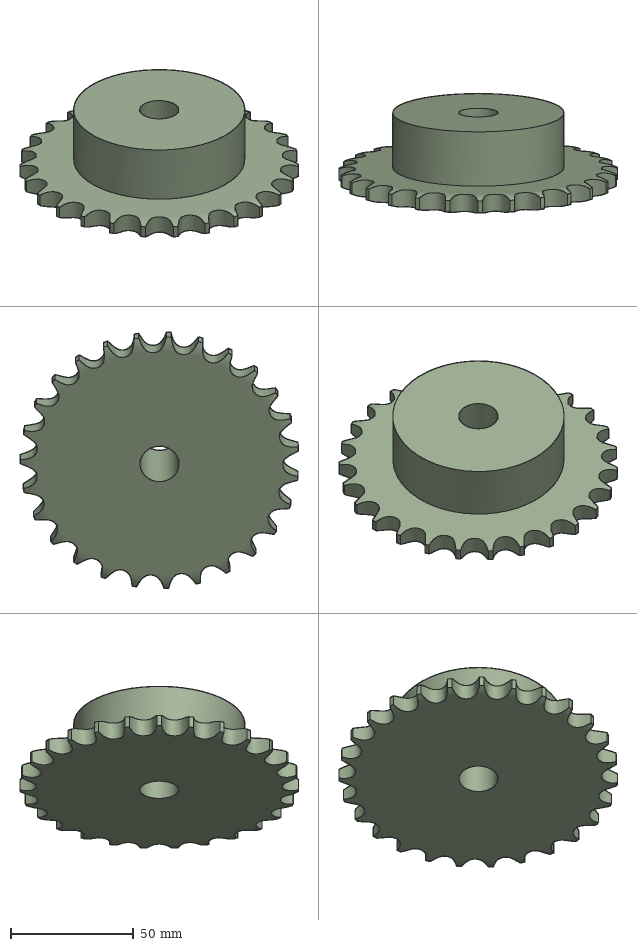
import cadquery as cq
import math

overall_width = 113.9
overall_height = 30.0
plate_thickness = 7.2
hub_diameter = 70.0
bore_diameter = 16.0

tooth_count = 27
pitch_diameter = 109.5
pitch_angle = 360 / tooth_count
first_tooth_angle = -90.0

seat_radius = 4.3
flank_arc_radius = 11.2
seat_half_angle = 55 - 60 / tooth_count
flank_arc_angle = 18 - 56 / tooth_count
tip_half_angle = 0.93

tip_radius = overall_width / 2 / math.cos(math.radians(pitch_angle / 4 - tip_half_angle))

side_round_radius = 13.0
side_round_depth = 1.3
side_round_width = math.sqrt(side_round_radius**2 - (side_round_radius - side_round_depth) ** 2)


def polar(radius, degrees):
    angle = math.radians(degrees)
    return (radius * math.cos(angle), radius * math.sin(angle))


def tooth_gap_points(gap_angle):
    """Named points along one gap, counter-clockwise between the inner ends of its straight flanks."""
    pitch_radius = pitch_diameter / 2
    flank_center_offset = flank_arc_radius - seat_radius
    flank_middle = seat_half_angle + flank_arc_angle / 2
    flank_end = seat_half_angle + flank_arc_angle

    def place(across, outward):
        """Turn a point given relative to the seat centre into part coordinates."""
        radius = math.hypot(pitch_radius + outward, across)
        turn = math.degrees(math.atan2(across, pitch_radius + outward))
        return polar(radius, gap_angle + turn)

    def seat_point(angle):
        """Point on the seat arc at an angle from the inward radial direction."""
        turn = math.radians(angle)
        return place(seat_radius * math.sin(turn), -seat_radius * math.cos(turn))

    def flank_point(angle, side):
        """Point on a flank arc; its centre lies on the line through the seat's end and centre."""
        turn = math.radians(angle)
        junction = math.radians(seat_half_angle)
        across = flank_arc_radius * math.sin(turn) - flank_center_offset * math.sin(junction)
        outward = flank_center_offset * math.cos(junction) - flank_arc_radius * math.cos(turn)
        return place(side * across, outward)

    return {
        "flank_in": flank_point(flank_end, -1),
        "flank_in_middle": flank_point(flank_middle, -1),
        "seat_start": seat_point(-seat_half_angle),
        "seat_bottom": seat_point(0),
        "seat_end": seat_point(seat_half_angle),
        "flank_out_middle": flank_point(flank_middle, 1),
        "flank_out": flank_point(flank_end, 1),
    }


def tooth_outline():
    """Closed outline of all the teeth and gaps."""
    outline = cq.Workplane("XY").moveTo(*polar(tip_radius, first_tooth_angle - tip_half_angle))
    for index in range(tooth_count):
        tooth_angle = first_tooth_angle + index * pitch_angle
        next_tooth_angle = tooth_angle + pitch_angle
        gap = tooth_gap_points(tooth_angle + pitch_angle / 2)
        outline = outline.threePointArc(
            polar(tip_radius, tooth_angle), polar(tip_radius, tooth_angle + tip_half_angle)
        )
        outline = outline.lineTo(*gap["flank_in"])
        outline = outline.threePointArc(gap["flank_in_middle"], gap["seat_start"])
        outline = outline.threePointArc(gap["seat_bottom"], gap["seat_end"])
        outline = outline.threePointArc(gap["flank_out_middle"], gap["flank_out"])
        if index < tooth_count - 1:
            outline = outline.lineTo(*polar(tip_radius, next_tooth_angle - tip_half_angle))
    return outline.close()


def rounded_disc():
    """Plain disc with the edges of both faces rounded, as turned before the teeth are cut."""
    face_radius = tip_radius - side_round_width
    half_turn = math.asin(side_round_width / side_round_radius) / 2
    middle_radius = face_radius + side_round_radius * math.sin(half_turn)
    middle_depth = side_round_radius * (1 - math.cos(half_turn))
    return (
        cq.Workplane("XZ")
        .lineTo(face_radius, 0)
        .threePointArc((middle_radius, middle_depth), (tip_radius, side_round_depth))
        .lineTo(tip_radius, plate_thickness - side_round_depth)
        .threePointArc((middle_radius, plate_thickness - middle_depth), (face_radius, plate_thickness))
        .lineTo(0, plate_thickness)
        .close()
        .revolve(360, (0, 0, 0), (0, 1, 0))
    )


toothed_plate = tooth_outline().extrude(plate_thickness).intersect(rounded_disc())
hub = cq.Workplane("XY").circle(hub_diameter / 2).extrude(overall_height)
bore = cq.Workplane("XY").circle(bore_diameter / 2).extrude(overall_height)

result = toothed_plate.union(hub).cut(bore)